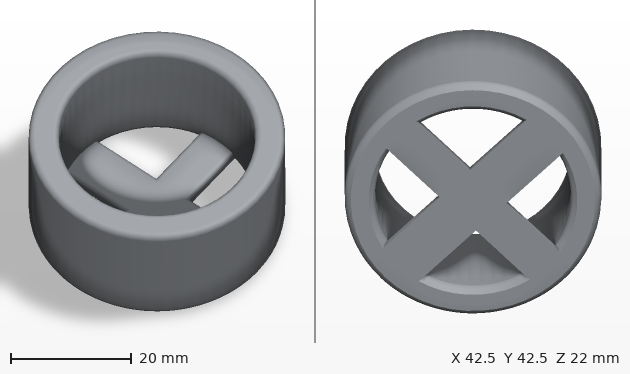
import cadquery as cq

outer_diameter = 42.5
bore_diameter = 32.5
height = 22.0
edge_size = 1.0

arm_x_width = 8.5
arm_y_width = 7.0
cross_thickness = 2.0
cross_edge_radius = 0.75
cross_length = (outer_diameter + bore_diameter) / 2


def make_ring():
    """Ring with rounded top rims and bevels blended into both walls at the bottom."""
    outer_radius = outer_diameter / 2
    bore_radius = bore_diameter / 2
    section = (
        cq.Workplane("XZ")
        .moveTo(bore_radius + edge_size, 0)
        .lineTo(outer_radius - edge_size, 0)
        .lineTo(outer_radius, edge_size)
        .lineTo(outer_radius, height)
        .lineTo(bore_radius, height)
        .lineTo(bore_radius, edge_size)
        .close()
    )
    ring = section.revolve(360, (0, 0, 0), (0, 1, 0))
    top_rims = ring.faces(">Z").edges()
    blend_plane = cq.selectors.BoxSelector(
        (-outer_diameter, -outer_diameter, edge_size / 2),
        (outer_diameter, outer_diameter, edge_size * 3 / 2),
    )
    bevel_tops = ring.edges("%CIRCLE").edges(blend_plane)
    return ring.newObject(top_rims.vals() + bevel_tops.vals()).fillet(edge_size)


def make_cross():
    """Two crossing bars with rounded upper edges."""
    on_base = (True, True, False)
    bar_x = cq.Workplane("XY").box(cross_length, arm_x_width, cross_thickness, centered=on_base)
    bar_y = cq.Workplane("XY").box(arm_y_width, cross_length, cross_thickness, centered=on_base)
    return bar_x.union(bar_y).faces(">Z").edges().fillet(cross_edge_radius)


result = make_ring().union(make_cross())